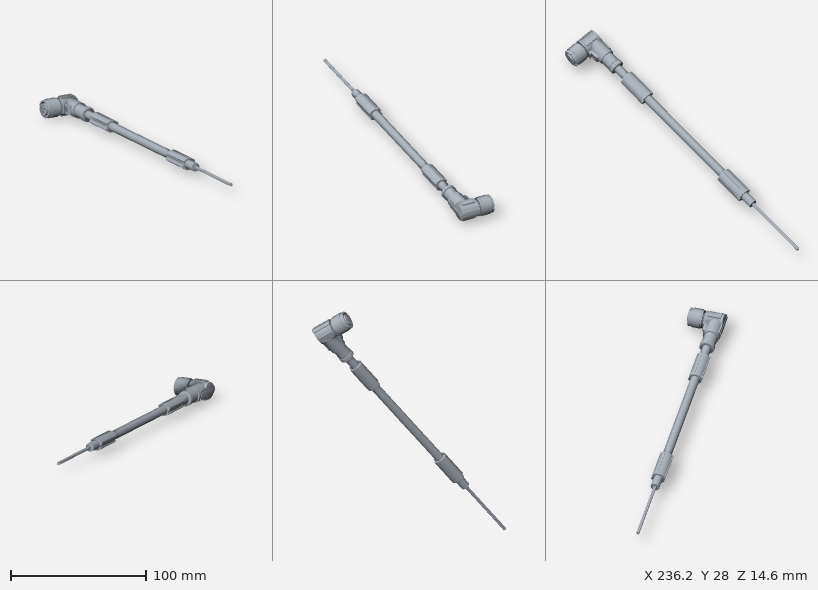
import cadquery as cq


TOTAL_LENGTH = 236.2
TOTAL_WIDTH = 28.0

PLUG_X = 7.3
BACK_Y = 6.5
BODY_FRONT_Y = -8.5
NECK_FRONT_Y = -10.0
NUT_START_Y = -11.3
NUT_END_Y = -18.0
NUT_FACE_Y = -20.8
TIP_Y = BACK_Y - TOTAL_WIDTH

BODY_RADIUS = 6.5
RIDGE_RADIUS = 7.3
RIDGE_HALF_HEIGHT = 3.0
CROWN_HEIGHT = 0.7
BACK_RIB_HEIGHT = 0.5
BACK_RIB_HALF_HEIGHT = 1.5
SEAM_WIDTH = 0.5
SEAM_DEPTH = 0.2

NUT_RADIUS = 7.3
NUT_SHOULDER_RADIUS = 6.9
NUT_LIP_RADIUS = 6.5
NUT_BORE_RADIUS = 5.5
NUT_BORE_DEPTH = 2.4
NECK_RADIUS = 4.7
TOOTH_COUNT = 16
TOOTH_WIDTH = 1.0
TOOTH_HEIGHT = 0.5
FACE_NOTCH_COUNT = 4
FACE_NOTCH_WIDTH = 1.2
FACE_NOTCH_DEPTH = 1.0
INSERT_RADIUS = 4.5
CONTACT_COUNT = 4
CONTACT_CIRCLE_RADIUS = 2.5
CONTACT_RADIUS = 1.0
CONTACT_DEPTH = 2.4

LABEL_X_SIZE = 5.0
LABEL_Y_SIZE = 10.9
LABEL_CENTRE_Y = -1.7
LABEL_TOP_Z = NUT_RADIUS
LABEL_RIM = 0.5
LABEL_RECESS = 0.2

ARM_RADIUS = 6.1
ARM_END_X = 24.0
RELIEF_RADIUS = 5.2
RELIEF_END_X = 32.4
RELIEF_CORE_RADIUS = 4.7
COLLAR_START_X = 32.8
COLLAR_RADIUS = 5.7
COLLAR_END_X = 36.1
COLLAR_CHAMFER = 0.5
DOT_RADIUS = 1.0
DOT_HEIGHT = 0.2

PAD_END_X = 21.3
PAD_BEVEL_X = 18.5
PAD_FRONT_Y = -7.3
PAD_BEVEL_Y = -6.5
FOOT_END_X = 16.0
FOOT_START_X = 15.0
PAD_HALF_HEIGHT = 3.5
PAD_WINDOW_HALF_HEIGHT = 2.1
PAD_WINDOW_START_X = 15.1
PAD_WINDOW_END_X = 19.4
PAD_WINDOW_DEPTH = 1.0

CABLE_RADIUS = 3.3
CABLE_END_X = 186.2
SLEEVE_STARTS = (45.8, 153.0)
SLEEVE_LENGTH = 23.6
SLEEVE_HALF_HEIGHT = 4.7
SLEEVE_HALF_WIDTH = 5.5
RIB_LOW_Z = -2.4
RIB_SLOPE_END_Z = -1.5
RIB_EDGE_Y = -4.7
RIB_HIGH_Z = 0.2
GROOVE_FLOOR_Y = -3.8
GROOVE_FLOOR_HIGH_Z = 2.0
GROOVE_MOUTH_HIGH_Z = 3.5
SLEEVE_SLOT_Y = -0.5
SLEEVE_SLOT_WIDTH = 0.7
SLEEVE_SLOT_DEPTH = 0.5
WIRE_RADIUS = 0.6
WIRE_OFFSET = 0.5
WIRE_OVERLAP = 2.4


def box(x_range, y_range, z_range):
    """Box between the given limits on each axis."""
    sizes = [high - low for low, high in (x_range, y_range, z_range)]
    corner = (x_range[0], y_range[0], z_range[0])
    return cq.Workplane("XY").box(*sizes, centered=False).translate(corner)


def rod_x(radius, start, end, y=0.0, z=0.0):
    """Cylinder along X."""
    return cq.Workplane("YZ", origin=(start, y, z)).circle(radius).extrude(end - start)


def rod_y(radius, back, front):
    """Cylinder on the plug axis, running towards -Y."""
    return cq.Workplane("XZ", origin=(PLUG_X, back, 0)).circle(radius).extrude(back - front)


def around_plug(shape, count):
    """Copies of a shape spaced evenly around the plug axis."""
    copies = cq.Workplane("XY")
    for i in range(count):
        copies = copies.add(shape.rotate((PLUG_X, 0, 0), (PLUG_X, 1, 0), 360 * i / count))
    return copies.combine()


def make_crown(start, end, front):
    """Block along X whose +Y side is a shallow arc."""
    crown_y = BACK_Y - BACK_RIB_HEIGHT
    edge_y = crown_y - CROWN_HEIGHT
    return (
        cq.Workplane("YZ", origin=(start, 0, 0))
        .moveTo(front, -BODY_RADIUS)
        .lineTo(edge_y, -BODY_RADIUS)
        .threePointArc((crown_y, 0), (edge_y, BODY_RADIUS))
        .lineTo(front, BODY_RADIUS)
        .close()
        .extrude(end - start)
    )


def make_body():
    """Plug body: round, with a split grip ridge on -X, label frames and a ribbed, crowned back."""
    ridge_limits = (-RIDGE_HALF_HEIGHT, RIDGE_HALF_HEIGHT)
    ridge = rod_y(RIDGE_RADIUS, BACK_Y, BODY_FRONT_Y)
    ridge = ridge.intersect(box((0, PLUG_X), (BODY_FRONT_Y, BACK_Y), ridge_limits))
    body = rod_y(BODY_RADIUS, BACK_Y, BODY_FRONT_Y).union(ridge)
    body = body.intersect(make_crown(0, 2 * PLUG_X, BODY_FRONT_Y))
    rib_root_y = BACK_Y - BACK_RIB_HEIGHT - CROWN_HEIGHT
    rib_limits = (-BACK_RIB_HALF_HEIGHT, BACK_RIB_HALF_HEIGHT)
    body = body.union(box((0, PAD_END_X), (rib_root_y, BACK_Y), rib_limits))
    half_seam = SEAM_WIDTH / 2
    body = body.cut(box((0, SEAM_DEPTH), (BODY_FRONT_Y, BACK_Y), (-half_seam, half_seam)))

    label = cq.Workplane("XY").box(LABEL_X_SIZE, LABEL_Y_SIZE, 2 * LABEL_TOP_Z)
    label = label.translate((PLUG_X, LABEL_CENTRE_Y, 0))
    body = body.union(label)
    for side in (-1, 1):
        window = cq.Workplane("XY").box(
            LABEL_X_SIZE - 2 * LABEL_RIM, LABEL_Y_SIZE - 2 * LABEL_RIM, 2 * LABEL_RECESS
        )
        body = body.cut(window.translate((PLUG_X, LABEL_CENTRE_Y, side * LABEL_TOP_Z)))
    return body


def make_nut():
    """Toothed neck, coupling nut and contact insert."""
    neck = rod_y(NECK_RADIUS, 0, NUT_START_Y)
    tooth = box(
        (PLUG_X - TOOTH_WIDTH / 2, PLUG_X + TOOTH_WIDTH / 2),
        (NECK_FRONT_Y, BODY_FRONT_Y),
        (0, NECK_RADIUS + TOOTH_HEIGHT),
    )
    neck = neck.union(around_plug(tooth, TOOTH_COUNT))

    nut = rod_y(NUT_SHOULDER_RADIUS, NECK_FRONT_Y, NUT_FACE_Y)
    nut = nut.faces("<Y").chamfer(NUT_SHOULDER_RADIUS - NUT_LIP_RADIUS)
    nut = nut.union(rod_y(NUT_RADIUS, NUT_START_Y, NUT_END_Y))
    nut = nut.cut(rod_y(NUT_BORE_RADIUS, NUT_FACE_Y + NUT_BORE_DEPTH, NUT_FACE_Y))
    notch = box(
        (PLUG_X - FACE_NOTCH_WIDTH / 2, PLUG_X + FACE_NOTCH_WIDTH / 2),
        (NUT_FACE_Y, NUT_FACE_Y + FACE_NOTCH_DEPTH),
        (0, NUT_RADIUS),
    )
    nut = nut.cut(around_plug(notch, FACE_NOTCH_COUNT))

    insert = rod_y(INSERT_RADIUS, NUT_START_Y, TIP_Y)
    contact = rod_y(CONTACT_RADIUS, TIP_Y + CONTACT_DEPTH, TIP_Y)
    outer_contact = contact.translate((0, 0, CONTACT_CIRCLE_RADIUS))
    insert = insert.cut(around_plug(outer_contact, CONTACT_COUNT)).cut(contact)
    return neck.union(nut).union(insert)


def make_arm():
    """Arm from the plug body to the cable, with its pads and strain relief."""
    arm = rod_x(ARM_RADIUS, PLUG_X, ARM_END_X)
    height_limits = (-PAD_HALF_HEIGHT, PAD_HALF_HEIGHT)
    arm = arm.union(
        make_crown(PLUG_X, PAD_END_X, 0).intersect(
            box((PLUG_X, PAD_END_X), (0, BACK_Y), height_limits)
        )
    )
    front_pad = (
        cq.Workplane("XY", origin=(0, 0, -PAD_HALF_HEIGHT))
        .moveTo(PLUG_X, 0)
        .lineTo(PLUG_X, BODY_FRONT_Y)
        .lineTo(FOOT_END_X, BODY_FRONT_Y)
        .lineTo(FOOT_START_X, PAD_FRONT_Y)
        .lineTo(PAD_BEVEL_X, PAD_FRONT_Y)
        .lineTo(PAD_END_X, PAD_BEVEL_Y)
        .lineTo(PAD_END_X, 0)
        .close()
        .extrude(2 * PAD_HALF_HEIGHT)
    )
    window = box(
        (PAD_WINDOW_START_X, PAD_WINDOW_END_X),
        (PAD_FRONT_Y, PAD_FRONT_Y + PAD_WINDOW_DEPTH),
        (-PAD_WINDOW_HALF_HEIGHT, PAD_WINDOW_HALF_HEIGHT),
    )
    arm = arm.union(front_pad).cut(window)

    arm = arm.union(rod_x(RELIEF_RADIUS, PLUG_X, RELIEF_END_X))
    arm = arm.union(rod_x(RELIEF_CORE_RADIUS, PLUG_X, COLLAR_END_X))
    collar = rod_x(COLLAR_RADIUS, COLLAR_START_X, COLLAR_END_X)
    collar = collar.faces(">X").chamfer(COLLAR_CHAMFER)
    dot_x = (COLLAR_START_X + COLLAR_END_X) / 2
    dot = cq.Workplane("XY", origin=(dot_x, 0, 0)).circle(DOT_RADIUS)
    dot = dot.extrude(COLLAR_RADIUS + DOT_HEIGHT)
    return arm.union(collar).union(dot)


def make_sleeve(start):
    """Marker sleeve; its ribs, side grooves and slots repeat after half a turn about X."""
    end = start + SLEEVE_LENGTH
    section = cq.Workplane("YZ", origin=(start, 0, 0))
    sleeve = section.ellipse(SLEEVE_HALF_WIDTH, SLEEVE_HALF_HEIGHT).extrude(SLEEVE_LENGTH)
    rib = box((start, end), (-SLEEVE_HALF_WIDTH, 0), (RIB_LOW_Z, RIB_HIGH_Z))
    groove = (
        section.moveTo(-SLEEVE_HALF_WIDTH, GROOVE_MOUTH_HIGH_Z)
        .lineTo(GROOVE_FLOOR_Y, GROOVE_FLOOR_HIGH_Z)
        .lineTo(GROOVE_FLOOR_Y, RIB_HIGH_Z)
        .lineTo(RIB_EDGE_Y, RIB_HIGH_Z)
        .lineTo(-SLEEVE_HALF_WIDTH, RIB_SLOPE_END_Z)
        .close()
        .extrude(SLEEVE_LENGTH)
    )
    slot = box(
        (start, end),
        (SLEEVE_SLOT_Y - SLEEVE_SLOT_WIDTH / 2, SLEEVE_SLOT_Y + SLEEVE_SLOT_WIDTH / 2),
        (SLEEVE_HALF_HEIGHT - SLEEVE_SLOT_DEPTH, SLEEVE_HALF_HEIGHT),
    )
    for turn in (0, 180):
        sleeve = sleeve.union(rib.rotate((0, 0, 0), (1, 0, 0), turn))
    for turn in (0, 180):
        sleeve = sleeve.cut(groove.union(slot).rotate((0, 0, 0), (1, 0, 0), turn))
    return sleeve


def make_cable():
    """Cable with its marker sleeves and the four wires."""
    cable = rod_x(CABLE_RADIUS, PLUG_X, CABLE_END_X)
    for start in SLEEVE_STARTS:
        cable = cable.union(make_sleeve(start))
    for y in (-WIRE_OFFSET, WIRE_OFFSET):
        for z in (-WIRE_OFFSET, WIRE_OFFSET):
            cable = cable.union(rod_x(WIRE_RADIUS, CABLE_END_X - WIRE_OVERLAP, TOTAL_LENGTH, y, z))
    return cable


result = make_body().union(make_nut()).union(make_arm()).union(make_cable())